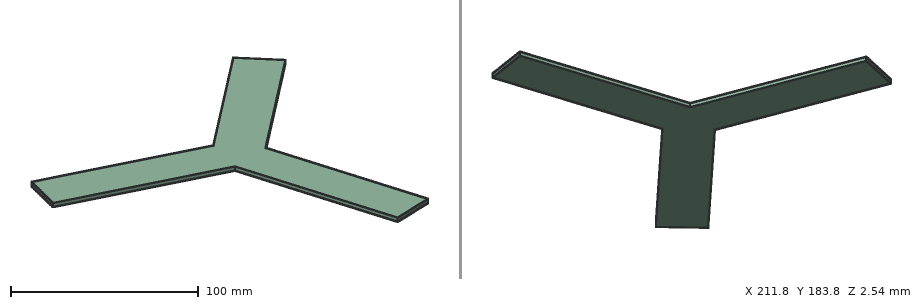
import cadquery as cq
import math

thickness = 2.54
arm_width = 27.94
arm_edge_length = 106.315
side_arm_angle = 30.13

cos_rise = math.cos(math.radians(side_arm_angle))
sin_rise = math.sin(math.radians(side_arm_angle))
half_width = arm_width / 2

inner_corner_y = -half_width * (1 - sin_rise) / cos_rise
top_notch_y = half_width / cos_rise

lower_tip = (half_width, inner_corner_y - arm_edge_length)
inner_corner = (half_width, inner_corner_y)
side_tip_low = (
    half_width + arm_edge_length * cos_rise,
    inner_corner_y + arm_edge_length * sin_rise,
)
side_tip_high = (
    side_tip_low[0] - arm_width * sin_rise,
    side_tip_low[1] + arm_width * cos_rise,
)
right_half = [lower_tip, inner_corner, side_tip_low, side_tip_high]

left_half = [(-x, y) for x, y in reversed(right_half)]
outline = right_half + [(0, top_notch_y)] + left_half

result = cq.Workplane("XY").polyline(outline).close().extrude(thickness)